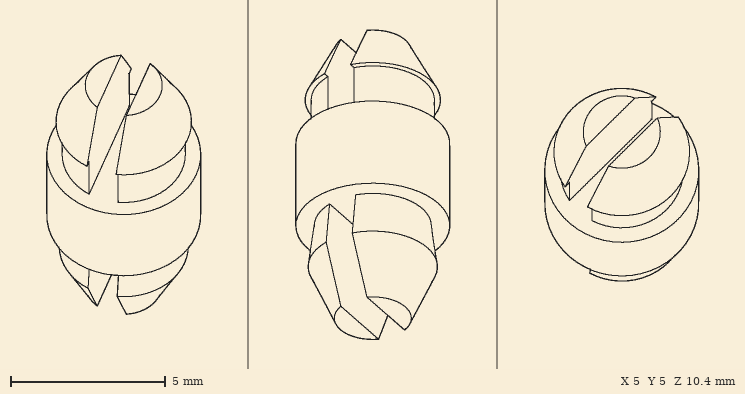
import cadquery as cq


collar_diameter = 5.0
collar_height = 3.2

neck_diameter = 4.0
neck_height = 1.7
upper_barb_diameter = 4.4
upper_nose_height = 1.9

flare_root_diameter = 3.8
flare_height = 1.6
lower_barb_diameter = 4.2
lower_nose_height = 2.0

tip_diameter = 2.5
slot_width = 1.0

collar_top = collar_height / 2
collar_bottom = -collar_top
upper_barb_level = collar_top + neck_height
top_tip = upper_barb_level + upper_nose_height
lower_barb_level = collar_bottom - flare_height
bottom_tip = lower_barb_level - lower_nose_height


def turned_body():
    """Revolve the half profile (radius, height) about the Z axis."""
    profile = [
        (0, bottom_tip),
        (tip_diameter / 2, bottom_tip),
        (lower_barb_diameter / 2, lower_barb_level),
        (flare_root_diameter / 2, collar_bottom),
        (collar_diameter / 2, collar_bottom),
        (collar_diameter / 2, collar_top),
        (neck_diameter / 2, collar_top),
        (neck_diameter / 2, upper_barb_level),
        (upper_barb_diameter / 2, upper_barb_level),
        (tip_diameter / 2, top_tip),
        (0, top_tip),
    ]
    axis_start = (0, 0, 0)
    axis_end = (0, 1, 0)
    return cq.Workplane("XZ").polyline(profile).close().revolve(360, axis_start, axis_end)


def plug_slot(start_level, end_level):
    """Slot cutter running through along Y between two levels."""
    slot_length = collar_diameter
    return (
        cq.Workplane("XY")
        .workplane(offset=start_level)
        .rect(slot_width, slot_length)
        .extrude(end_level - start_level)
    )


result = turned_body()
for slot_floor, slot_mouth in ((collar_top, top_tip), (collar_bottom, bottom_tip)):
    result = result.cut(plug_slot(slot_floor, slot_mouth))